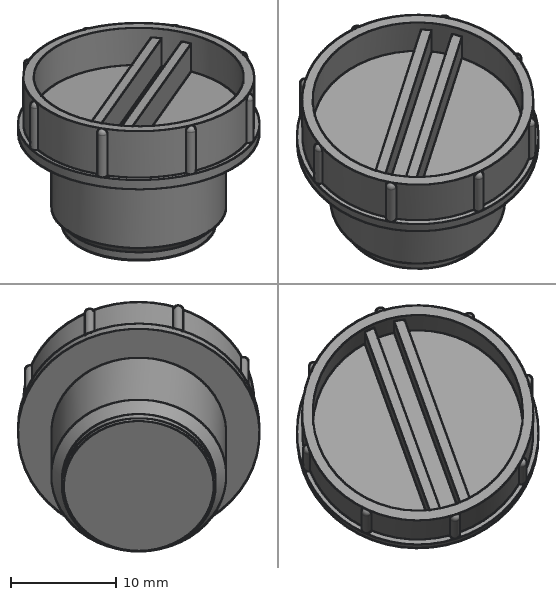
import cadquery as cq

tip_height = 1.0
tip_diameter = 14.66
tip_chamfer = 0.2
shank_taper_height = 1.0
shank_diameter = 16.66
flange_bottom = 10.0
flange_diameter = 23.0
flange_thickness = 1.0
total_height = 16.0

cap_diameter = 22.0
recess_diameter = 20.0
recess_depth = 4.0

bar_thickness = 1.0
slot_width = 2.0
bar_height = 3.0

rib_count = 8
rib_radius = 0.5

flange_top = flange_bottom + flange_thickness


def make_body():
    """Solid of revolution: tip, taper, shank, flange and cap."""
    tip_radius = tip_diameter / 2
    shank_radius = shank_diameter / 2
    flange_radius = flange_diameter / 2
    cap_radius = cap_diameter / 2
    profile = [
        (0, 0),
        (tip_radius - tip_chamfer, 0),
        (tip_radius, tip_chamfer),
        (tip_radius, tip_height),
        (shank_radius, tip_height + shank_taper_height),
        (shank_radius, flange_bottom),
        (flange_radius, flange_bottom),
        (flange_radius, flange_top),
        (cap_radius, flange_top),
        (cap_radius, total_height),
        (0, total_height),
    ]
    return cq.Workplane("XZ").polyline(profile).close().revolve(360, (0, 0), (0, 1))


def make_recess():
    """Round recess in the cap, leaving the two grip bars standing."""
    floor = cq.Workplane("XY").workplane(offset=total_height - recess_depth)
    recess = floor.circle(recess_diameter / 2).extrude(recess_depth)
    bar_offset = (slot_width + bar_thickness) / 2
    bars = (
        floor.pushPoints([(-bar_offset, 0), (bar_offset, 0)])
        .rect(bar_thickness, recess_diameter)
        .extrude(bar_height)
    )
    return recess.cut(bars)


def make_rib(angle):
    """Vertical half-round rib on the cap wall, ending in a dome at the top."""
    dome_center_height = total_height - rib_radius
    cap_radius = cap_diameter / 2
    rib = (
        cq.Workplane("XY")
        .workplane(offset=flange_top)
        .center(cap_radius, 0)
        .circle(rib_radius)
        .extrude(dome_center_height - flange_top)
    )
    dome = cq.Workplane("XY").sphere(rib_radius).translate((cap_radius, 0, dome_center_height))
    rib = rib.union(dome)
    return rib.rotate((0, 0, 0), (0, 0, 1), angle)


result = make_body()
for index in range(rib_count):
    result = result.union(make_rib(index * 360 / rib_count))
result = result.cut(make_recess())